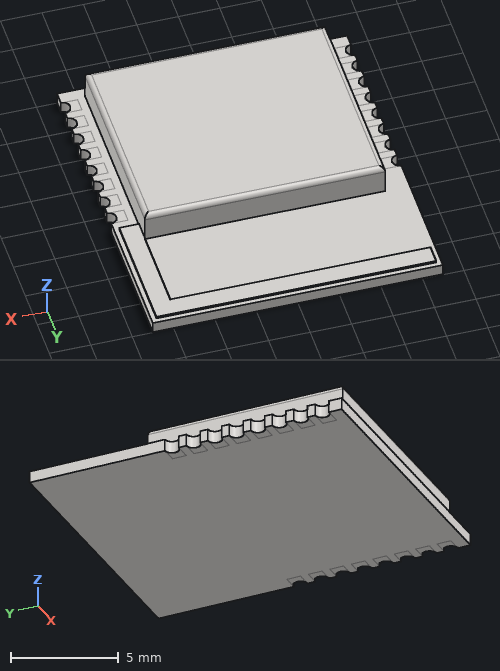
import cadquery as cq

BOARD_WIDTH = 14.0
BOARD_LENGTH = 16.0
BOARD_THICKNESS = 0.6
TOTAL_HEIGHT = 2.1

SHIELD_SIDE_MARGIN = 1.2
SHIELD_FRONT_MARGIN = 0.5
SHIELD_LENGTH = 10.0
SHIELD_EDGE_RADIUS = 0.25

ANTENNA_MARGIN = 0.25
ANTENNA_THICKNESS = 0.1
ANTENNA_LEG_LENGTH = 6.2

PAD_COUNT = 8
PAD_PITCH = 1.1
PAD_WIDTH = 0.7
PAD_DEPTH = 0.8
FIRST_PAD_MARGIN = 1.0
NOTCH_RADIUS = PAD_WIDTH / 2

RIGHT_EDGE = BOARD_WIDTH / 2
BACK_EDGE = BOARD_LENGTH / 2
FRONT_EDGE = -BOARD_LENGTH / 2


def pad_centres():
    """Points on the left and right board edges where the pads are centred."""
    first_y = FRONT_EDGE + FIRST_PAD_MARGIN
    return [
        (side * RIGHT_EDGE, first_y + index * PAD_PITCH)
        for side in (-1, 1)
        for index in range(PAD_COUNT)
    ]


def make_board():
    """Plain rectangular board."""
    return cq.Workplane("XY").box(
        BOARD_WIDTH, BOARD_LENGTH, BOARD_THICKNESS, centered=(True, True, False)
    )


def make_notches():
    """Cylinders that cut the half-round notches in the board edges."""
    return cq.Workplane("XY").pushPoints(pad_centres()).circle(NOTCH_RADIUS).extrude(BOARD_THICKNESS)


def make_pads(board):
    """Pads as thick as the board, each reaching inward from the board edge."""
    blocks = (
        cq.Workplane("XY")
        .pushPoints(pad_centres())
        .rect(2 * PAD_DEPTH, PAD_WIDTH)
        .extrude(BOARD_THICKNESS)
    )
    return blocks.intersect(board)


def make_shield():
    """Rectangular can with rounded top edges and sharp upright corners."""
    centre_y = FRONT_EDGE + SHIELD_FRONT_MARGIN + SHIELD_LENGTH / 2
    return (
        cq.Workplane("XY", origin=(0, centre_y, BOARD_THICKNESS))
        .box(
            BOARD_WIDTH - 2 * SHIELD_SIDE_MARGIN,
            SHIELD_LENGTH,
            TOTAL_HEIGHT - BOARD_THICKNESS,
            centered=(True, True, False),
        )
        .faces(">Z")
        .edges()
        .fillet(SHIELD_EDGE_RADIUS)
    )


def make_antenna():
    """L-shaped strip whose inner side lines up with the right side of the shield."""
    strip_width = SHIELD_SIDE_MARGIN - ANTENNA_MARGIN
    outer_x = RIGHT_EDGE - ANTENNA_MARGIN
    outer_y = BACK_EDGE - ANTENNA_MARGIN
    inner_x = outer_x - strip_width
    inner_y = outer_y - strip_width
    leg_end_y = outer_y - ANTENNA_LEG_LENGTH
    outline = [
        (-outer_x, outer_y),
        (outer_x, outer_y),
        (outer_x, leg_end_y),
        (inner_x, leg_end_y),
        (inner_x, inner_y),
        (-outer_x, inner_y),
    ]
    return (
        cq.Workplane("XY", origin=(0, 0, BOARD_THICKNESS))
        .polyline(outline)
        .close()
        .extrude(ANTENNA_THICKNESS)
    )


notched_board = make_board().cut(make_notches())
pads = make_pads(notched_board)

result = (
    notched_board.cut(pads)
    .union(pads, clean=False)
    .union(make_shield(), clean=False)
    .union(make_antenna(), clean=False)
)